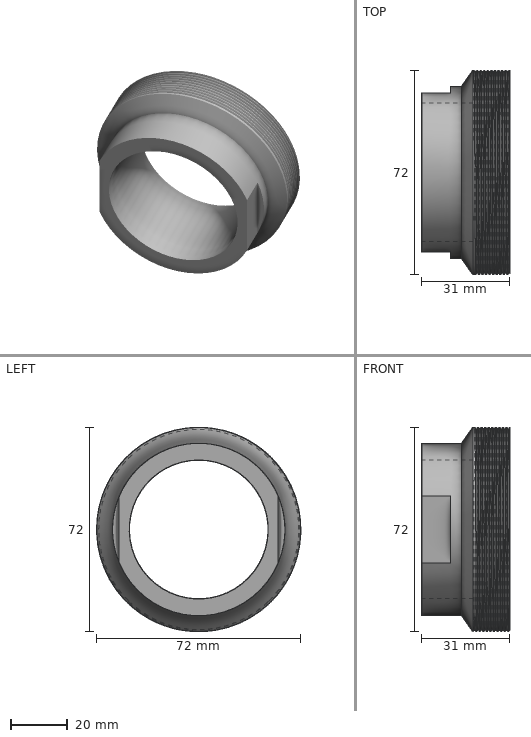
import cadquery as cq

total_length = 31.0
rim_radius = 36.0
neck_radius = 30.4
bore_radius = 24.4
neck_length = 14.05
rim_start = 18.0

flat_half_width = 28.0
flat_length = 10.1

pitches_across_rim = 10.4
thread_pitch = (total_length - rim_start) / pitches_across_rim
thread_depth = 0.7
groove_width = 1.0
thread_start = 18.5
start_angle = 150.0
overcut = 0.1


def make_body():
    outline = [
        (0, bore_radius),
        (0, neck_radius),
        (neck_length, neck_radius),
        (rim_start, rim_radius),
        (total_length, rim_radius),
        (total_length, bore_radius),
    ]
    return cq.Workplane("XZ").polyline(outline).close().revolve(360, (0, 0, 0), (1, 0, 0))


def cut_wrench_flats(body):
    slab_width = rim_radius - flat_half_width
    for side in (1, -1):
        slab = cq.Workplane("XY").box(
            flat_length, slab_width, 2 * rim_radius, centered=(False, True, True)
        )
        body = body.cut(slab.translate((0, side * (flat_half_width + slab_width / 2), 0)))
    return body


def make_groove_turn():
    """One full turn of the triangular groove, swept along Z and then laid along X."""
    helix = cq.Workplane(cq.Wire.makeHelix(thread_pitch, thread_pitch, rim_radius))
    half_mouth = groove_width / 2 * (thread_depth + overcut) / thread_depth
    outer = rim_radius + overcut
    profile = [(rim_radius - thread_depth, 0), (outer, half_mouth), (outer, -half_mouth)]
    turn = cq.Workplane("XZ").polyline(profile).close().sweep(helix, isFrenet=True)
    turn = turn.rotate((0, 0, 0), (0, 1, 0), 90)
    return turn.rotate((0, 0, 0), (1, 0, 0), start_angle - 180)


def cut_thread(body):
    turn_count = int((total_length - thread_start) / thread_pitch) + 2
    turn = make_groove_turn()
    for index in range(turn_count):
        body = body.cut(turn.translate((thread_start + index * thread_pitch, 0, 0)))
    return body


result = cut_thread(cut_wrench_flats(make_body()))